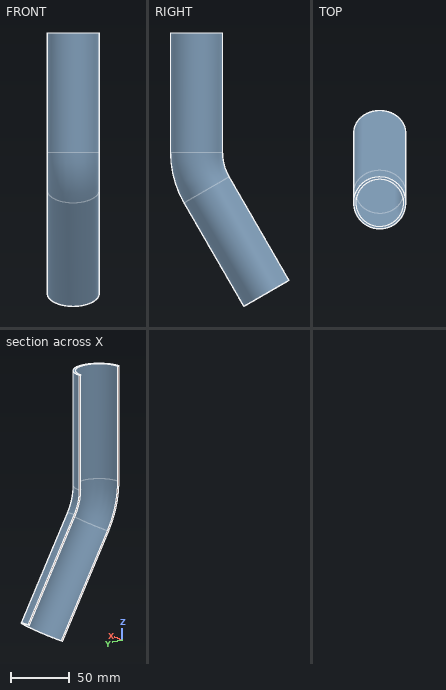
import cadquery as cq
import math

outer_diameter = 44.5
inner_diameter = 40.2
leg_length = 101.5
bend_radius = 63.5
bend_angle = 30.0


def bend_point(angle):
    """Centreline (Y, Z) point after turning by angle; the bend starts at the origin."""
    turn = math.radians(angle)
    return (bend_radius * (1 - math.cos(turn)), -bend_radius * math.sin(turn))


bend_middle = bend_point(bend_angle / 2)
bend_end = bend_point(bend_angle)
lean = math.radians(bend_angle)
lower_end = (
    bend_end[0] + leg_length * math.sin(lean),
    bend_end[1] - leg_length * math.cos(lean),
)
centreline = (
    cq.Workplane("YZ")
    .moveTo(0, leg_length)
    .lineTo(0, 0)
    .threePointArc(bend_middle, bend_end)
    .lineTo(*lower_end)
)

result = (
    cq.Workplane("XY")
    .workplane(offset=leg_length)
    .circle(outer_diameter / 2)
    .circle(inner_diameter / 2)
    .sweep(centreline)
)